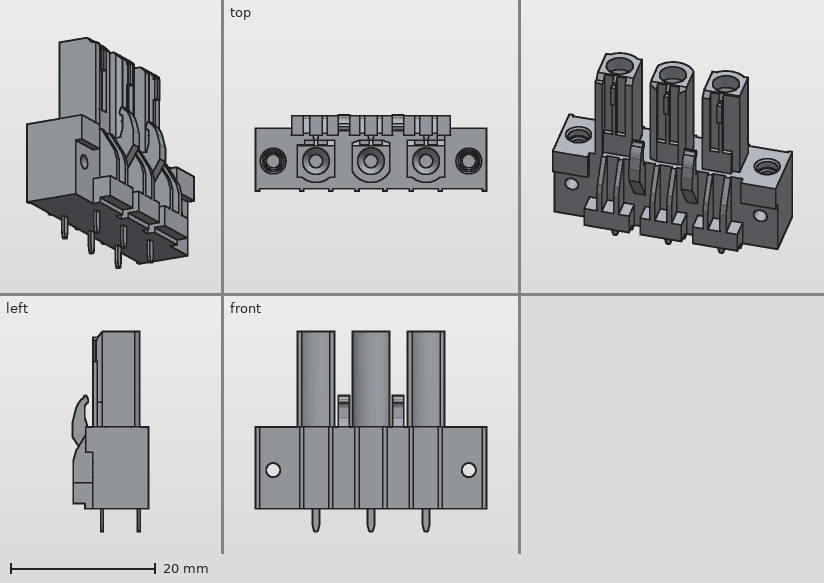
import cadquery as cq

body_width = 32.04
body_height = 11.33
rib_depth = 0.3
rib_width = 0.6
block_back = 7.72
lip_back = 8.73
lip_bottom = 7.81
inner_rib_places = [1.955, 5.575, 9.575]

comb_half_width = 11.0
comb_back = 10.45
foot_top = 3.61
foot_notch_y = 8.81
foot_notch_height = 0.72
fin_width = 0.7
wide_fin_width = 0.9
fin_edge_near = 0.855
fin_top_y = 8.03
fin_shoulder_y = 10.05
fin_shoulder_z = 8.05
fin_slope_end_z = 6.6
latch_centre = 3.765
latch_width = 1.6
latch_root_z = 5.6
latch_back = 10.54
latch_back_bottom_z = 9.95
latch_back_top_z = 12.0
latch_front = 8.81
latch_throat_z = 14.1
latch_foot_z = 12.6
latch_foot_y = 8.42

latch_shoulder = (10.13, 13.64)
latch_shoulder_mid = (9.8, 14.47)
latch_neck = (9.33, 15.13)
latch_neck_mid = (9.1, 15.3)
latch_crown_back = (8.93, 15.6)
latch_crown = (8.73, 15.69)
latch_crown_front = (8.53, 15.5)
latch_nose_top = (8.37, 15.2)
latch_nose = (8.32, 14.93)
latch_nose_bottom = (8.43, 14.65)
latch_throat_mid = (8.69, 14.42)

pole_pitch = 7.62
pole_centres = [-pole_pitch, 0, pole_pitch]
pole_y = 4.15
pole_top = 24.57
pole_half_width = 2.57
pole_radius = 2.95
pole_shoulder_y = 1.93
pole_bevel_y = 6.31
pole_bevel_end_z = 23.77
pole_back = 7.07
slot_half_width = 1.55
slot_wall_y = 6.43
slot_floor = 14.76
corner_cut_y = 6.66
web_half_width = 0.25
web_head_half_width = 0.35
web_head_flare_y = 7.25
web_head_full_y = 7.37
web_head_bottom = 20.37
web_head_top = 23.35

socket_radius = 1.85
socket_depth = 2.06
funnel_radius = 0.92
funnel_depth = 1.9

flange_x = 13.54
flange_holes = [-flange_x, flange_x]
cross_hole_z = 5.36
cross_hole_radius = 0.96
bore_radius = 1.48
bore_chamfer = 0.3
insert_recess = 1.3
insert_length = 3.0
insert_hole_radius = 0.95
insert_chamfer = 0.27

pin_rows = [1.35, 6.45]
pin_width = 1.0
pin_thickness = 0.4
pin_length = 3.17
pin_taper_start = 2.2
pin_taper_end = 2.88
pin_tip_half_width = 0.34


def box(x0, x1, y0, y1, z0, z1):
    """Axis-aligned box between two corners."""
    return cq.Workplane("XY").box(x1 - x0, y1 - y0, z1 - z0, centered=False).translate((x0, y0, z0))


def extrude_profile(profile, x0, x1):
    """Extrude a closed Y-Z outline from x0 to x1."""
    return profile.extrude(x1 - x0).translate((x0, 0, 0))


def make_block():
    half = body_width / 2
    block = box(-half, half, rib_depth, block_back, 0, body_height)
    end_rib = half - rib_width / 2
    for place in inner_rib_places + [end_rib]:
        for x in (-place, place):
            rib = box(x - rib_width / 2, x + rib_width / 2, 0, rib_depth, 0, body_height)
            block = block.union(rib)
    for x0, x1 in ((-half, -comb_half_width), (comb_half_width, half)):
        block = block.union(box(x0, x1, block_back, lip_back, lip_bottom, body_height))
    return block


def make_fin(x0, x1):
    """Tall fin with a sloped top, rising from the feet to the top of the block."""
    profile = cq.Workplane("YZ").polyline([
        (block_back, 0),
        (comb_back, 0),
        (comb_back, fin_slope_end_z),
        (fin_shoulder_y, fin_shoulder_z),
        (fin_top_y, body_height),
        (block_back, body_height),
    ]).close()
    return extrude_profile(profile, x0, x1)


def make_latch(x):
    """Hooked latch arm growing out of the rear wall of the block."""
    profile = (
        cq.Workplane("YZ")
        .moveTo(block_back, latch_root_z)
        .lineTo(latch_back, latch_back_bottom_z)
        .lineTo(latch_back, latch_back_top_z)
        .lineTo(*latch_shoulder)
        .threePointArc(latch_shoulder_mid, latch_neck)
        .threePointArc(latch_neck_mid, latch_crown_back)
        .threePointArc(latch_crown, latch_crown_front)
        .lineTo(*latch_nose_top)
        .threePointArc(latch_nose, latch_nose_bottom)
        .threePointArc(latch_throat_mid, (latch_front, latch_throat_z))
        .lineTo(latch_front, latch_foot_z)
        .lineTo(latch_foot_y, body_height)
        .lineTo(block_back, body_height)
        .close()
    )
    return extrude_profile(profile, x - latch_width / 2, x + latch_width / 2)


def make_comb():
    latch_inner = latch_centre - latch_width / 2
    latch_outer = latch_centre + latch_width / 2
    comb = box(-comb_half_width, comb_half_width, block_back, comb_back, 0, foot_top)
    for side in (-1, 1):
        x0, x1 = sorted((side * latch_inner, side * latch_outer))
        comb = comb.cut(box(x0, x1, block_back, comb_back, 0, foot_top))
    for pole in pole_centres:
        is_first = pole == pole_centres[0]
        left_width = wide_fin_width if is_first else fin_width
        comb = comb.union(make_fin(pole - fin_edge_near - left_width, pole - fin_edge_near))
        comb = comb.union(make_fin(pole + fin_edge_near, pole + fin_edge_near + fin_width))
    notch = box(-comb_half_width, comb_half_width, foot_notch_y, comb_back, 0, foot_notch_height)
    comb = comb.cut(notch)
    for x in (-latch_centre, latch_centre):
        comb = comb.union(make_latch(x))
    return comb


def make_web():
    """Thin upright key in the rear slot of a pole, carrying a flared head near its top."""
    web = box(-web_half_width, web_half_width, pole_bevel_y, pole_back, body_height, pole_top)
    head = (
        cq.Workplane("XY")
        .workplane(offset=web_head_bottom)
        .polyline([
            (-web_half_width, pole_back),
            (web_half_width, pole_back),
            (web_half_width, web_head_flare_y),
            (web_head_half_width, web_head_full_y),
            (web_head_half_width, block_back),
            (-web_head_half_width, block_back),
            (-web_head_half_width, web_head_full_y),
            (-web_half_width, web_head_flare_y),
        ])
        .close()
        .extrude(web_head_top - web_head_bottom)
    )
    return web.union(head)


def make_pole(kind):
    """Pole centred on X = 0; kind is "first", "middle" or "last" and sets its coding."""
    height = pole_top - body_height
    half = pole_half_width
    front_y = pole_y if kind == "middle" else pole_shoulder_y
    pole = box(-half, half, front_y, pole_back, body_height, pole_top)
    front = cq.Workplane("XY").circle(pole_radius).extrude(height).translate((0, pole_y, body_height))
    front = front.intersect(box(-half, half, pole_y - pole_radius, pole_y, body_height, pole_top))
    pole = pole.union(front)

    if kind == "first":
        pole = pole.cut(box(-half, -slot_half_width, slot_wall_y, pole_back, body_height, pole_top))
    if kind == "middle":
        for side in (-1, 1):
            corner = (
                cq.Workplane("XY")
                .workplane(offset=body_height)
                .polyline([
                    (side * half, corner_cut_y),
                    (side * half, pole_back),
                    (side * slot_half_width, pole_back),
                ])
                .close()
                .extrude(height)
            )
            pole = pole.cut(corner)
    if kind == "last":
        pole = pole.union(box(slot_half_width, half, pole_back, block_back, body_height, pole_top))

    slot = box(-slot_half_width, slot_half_width, slot_wall_y, pole_back, slot_floor, pole_top)
    pole = pole.cut(slot).union(make_web())

    bevel = cq.Workplane("YZ").polyline([
        (pole_bevel_y, pole_top),
        (pole_back, pole_bevel_end_z),
        (block_back, pole_bevel_end_z),
        (block_back, pole_top),
    ]).close()
    pole = pole.cut(extrude_profile(bevel, -half, half))
    return pole.cut(make_socket())


def make_socket():
    """Straight mouth followed by a funnel."""
    funnel_top = pole_top - socket_depth
    return (
        cq.Workplane("XZ")
        .polyline([
            (0, pole_top),
            (socket_radius, pole_top),
            (socket_radius, funnel_top),
            (funnel_radius, funnel_top - funnel_depth),
            (0, funnel_top - funnel_depth),
        ])
        .close()
        .revolve(360, (0, 0), (0, 1))
        .translate((0, pole_y, 0))
    )


def make_flange_bore(x):
    """Chamfered blind bore that holds an insert below the top face."""
    floor_z = body_height - insert_recess - insert_length
    return (
        cq.Workplane("XZ")
        .polyline([
            (0, body_height),
            (bore_radius + bore_chamfer, body_height),
            (bore_radius, body_height - bore_chamfer),
            (bore_radius, floor_z),
            (0, floor_z),
        ])
        .close()
        .revolve(360, (0, 0), (0, 1))
        .translate((x, pole_y, 0))
    )


def make_cross_hole(x):
    hole = cq.Workplane("XZ").center(x, cross_hole_z).circle(cross_hole_radius)
    return hole.extrude(-lip_back)


def make_housing():
    housing = make_block().union(make_comb())
    for x, kind in zip(pole_centres, ("first", "middle", "last")):
        housing = housing.union(make_pole(kind).translate((x, 0, 0)))
    for x in flange_holes:
        housing = housing.cut(make_flange_bore(x)).cut(make_cross_hole(x))
    return housing


def make_insert(x):
    """Threaded sleeve, modelled plain, with a chamfered mouth."""
    top = body_height - insert_recess
    sleeve = (
        cq.Workplane("XY")
        .workplane(offset=top - insert_length)
        .circle(bore_radius)
        .circle(insert_hole_radius)
        .extrude(insert_length)
    )
    mouth = sleeve.faces(">Z").edges(cq.selectors.RadiusNthSelector(0))
    return mouth.chamfer(insert_chamfer).translate((x, pole_y, 0))


def make_pin(x, y):
    """Flat solder pin with a tapered, rounded tip, standing below the housing."""
    half = pin_width / 2
    return (
        cq.Workplane("XZ")
        .moveTo(-half, 0)
        .lineTo(half, 0)
        .lineTo(half, -pin_taper_start)
        .lineTo(pin_tip_half_width, -pin_taper_end)
        .threePointArc((0, -pin_length), (-pin_tip_half_width, -pin_taper_end))
        .lineTo(-half, -pin_taper_start)
        .close()
        .extrude(pin_thickness / 2, both=True)
        .translate((x, y, 0))
    )


housing = make_housing()
inserts = [make_insert(x) for x in flange_holes]
pins = [make_pin(x, y) for y in pin_rows for x in pole_centres]

result = cq.Compound.makeCompound(
    [housing.val()] + [insert.val() for insert in inserts] + [pin.val() for pin in pins]
)